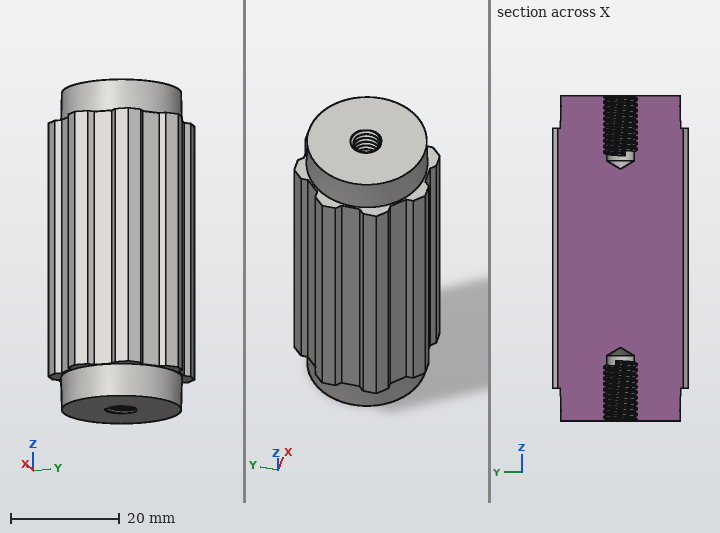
import cadquery as cq
import math

total_height = 60.0
end_height = 6.0
end_face_radius = 11.05
end_taper = math.radians(1.5)
end_base_radius = end_face_radius + end_height * math.tan(end_taper)
body_height = total_height - 2 * end_height

rib_count = 8
overall_width = 25.0
octagon_apothem = overall_width / 2
flute_apothem = 11.6
rib_flat_start = 2.65
rib_angle = 2 * math.pi / rib_count
flute_half_width = rib_flat_start - (octagon_apothem - flute_apothem) / math.tan(rib_angle)

thread_minor_radius = 5.05 / 2
thread_major_radius = 6.1 / 2
thread_pitch = 1.0
thread_depth = 10.8
hole_depth = 12.0
mouth_chamfer = 0.2
drill_point_angle = math.radians(118)
thread_half_angle = math.radians(30)
thread_start_degrees = -20.0
groove_root_half_width = 0.1
cut_overlap = 0.05


def turned(point, angle):
    """Rotate a plan point about the part's axis."""
    x, y = point
    return (
        x * math.cos(angle) - y * math.sin(angle),
        x * math.sin(angle) + y * math.cos(angle),
    )


def fluted_body():
    """Middle of the part: straight ribs and flutes that run its whole length."""
    octagon_corner = (-octagon_apothem * math.tan(rib_angle / 2), octagon_apothem)
    repeat = [
        (rib_flat_start, octagon_apothem),
        (flute_half_width, flute_apothem),
        (-flute_half_width, flute_apothem),
        (-rib_flat_start, octagon_apothem),
        octagon_corner,
    ]
    outline = [turned(point, i * rib_angle) for i in range(rib_count) for point in repeat]
    body_floor = cq.Workplane("XY", origin=(0, 0, -body_height / 2))
    return body_floor.polyline(outline).close().extrude(body_height)


def tapered_core():
    """Both tapered ends and the round core that joins them."""
    half_height = total_height / 2
    half_body = body_height / 2
    profile = [
        (0, -half_height),
        (end_face_radius, -half_height),
        (end_base_radius, -half_body),
        (end_base_radius, half_body),
        (end_face_radius, half_height),
        (0, half_height),
    ]
    return cq.Workplane("XZ").polyline(profile).close().revolve(360, (0, 0), (0, 1))


def drilled_hole():
    """Blind hole in the top face, with a drill point and a slightly chamfered mouth."""
    top = total_height / 2
    floor = top - hole_depth
    tip = floor - thread_minor_radius / math.tan(drill_point_angle / 2)
    profile = [
        (0, top),
        (thread_minor_radius + mouth_chamfer, top),
        (thread_minor_radius, top - mouth_chamfer),
        (thread_minor_radius, floor),
        (0, tip),
    ]
    return cq.Workplane("YZ").polyline(profile).close().revolve(360, (0, 0), (0, 1))


def thread_groove():
    """Right-hand helical groove that leaves the hole through the top face."""
    inner_radius = thread_minor_radius - cut_overlap
    groove_depth = thread_major_radius - inner_radius
    mouth_half_width = groove_root_half_width + groove_depth * math.tan(thread_half_angle)
    turns_below_top = math.floor(thread_depth / thread_pitch) + 0.5
    start_height = total_height / 2 - turns_below_top * thread_pitch
    helix_height = (turns_below_top + 1) * thread_pitch
    helix = cq.Wire.makeHelix(thread_pitch, helix_height, thread_minor_radius)
    profile = [
        (inner_radius, -mouth_half_width),
        (thread_major_radius, -groove_root_half_width),
        (thread_major_radius, groove_root_half_width),
        (inner_radius, mouth_half_width),
    ]
    groove = cq.Workplane("XZ").polyline(profile).close().sweep(cq.Workplane(helix), isFrenet=True)
    return groove.rotate((0, 0, 0), (0, 0, 1), thread_start_degrees).translate((0, 0, start_height))


def flipped(shape):
    """Turn a shape end for end, which keeps the hand of a thread."""
    return shape.rotate((0, 0, 0), (1, 0, 0), 180)


result = fluted_body().union(tapered_core())
hole = drilled_hole()
groove = thread_groove()
for cutter in (groove, flipped(groove), hole, flipped(hole)):
    result = result.cut(cutter)